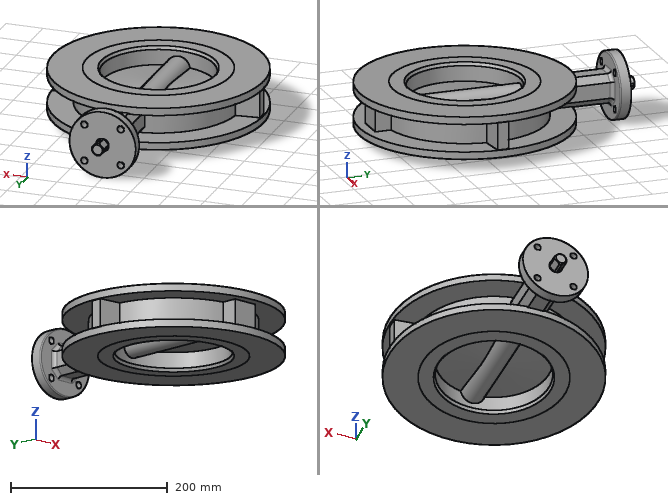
import cadquery as cq


overall_length = 371.5

body_radius = 142.47
body_height = 57.2
plate_thickness = 10.0
core_radius = 109.0
gap_height = body_height - 2 * plate_thickness

front_rib_width = 36.8
front_rib_reach = 128.5
side_rib_reach = 140.5
side_rib_tip_width = 15.2
side_rib_root_width = 21.0

neck_width = 39.8
neck_chamfer = 9.3
neck_fillet = 5.0
flange_radius = 45.0
flange_thickness = 15.2
flange_top = 210.3
flange_edge_fillet = 1.5
bolt_circle_radius = 35.0
bolt_hole_diameter = 9.0
bolt_count = 4
first_bolt_angle = 45
flange_bottom = flange_top - flange_thickness

liner_radius = 97.0
bore_radius = 75.0
bore_lead_in_width = 2.2
bore_lead_in_depth = 4.5

disc_rim_height = 6.7
disc_centre_height = 16.7
hub_radius = 16.7

stem_diameter = 17.5
stem_top = overall_length - body_radius
stem_bottom = -119.0
stem_square = 14.5
stem_square_angle = 45
stem_tip_chamfer = 2.0


def cylinder_along_y(radius, y_start, y_end):
    """Round bar on the stem axis between two Y positions."""
    return cq.Workplane("XZ", origin=(0, y_start, 0)).circle(radius).extrude(y_start - y_end)


def make_stem():
    """Round stem whose exposed upper end is a turned square with rounded corners."""
    stem = cylinder_along_y(stem_diameter / 2, stem_bottom, stem_top)
    stem = stem.faces(">Y").chamfer(stem_tip_chamfer)
    exposed_length = stem_top - flange_top
    exposed_middle = flange_top + exposed_length / 2
    surround = cq.Workplane("XY").box(2 * stem_diameter, exposed_length, 2 * stem_diameter)
    square = cq.Workplane("XY").box(stem_square, exposed_length, stem_square)
    square = square.rotate((0, 0, 0), (0, 1, 0), stem_square_angle)
    return stem.cut(surround.cut(square).translate((0, exposed_middle, 0)))


def make_side_rib():
    """Rib on the -X side that narrows from the core tube to its flat tip."""
    tip = side_rib_tip_width / 2
    root = side_rib_root_width / 2
    outline = [(-side_rib_reach, -tip), (-side_rib_reach, tip), (-core_radius, root),
               (-liner_radius, root), (-liner_radius, -root), (-core_radius, -root)]
    return cq.Workplane("XY").polyline(outline).close().extrude(gap_height / 2, both=True)


def make_housing_ring():
    """Core tube with a plate at each face, a front rib and two side ribs."""
    ring = cq.Workplane("XY").circle(core_radius).extrude(gap_height / 2, both=True)
    for plate_bottom in (-body_height / 2, gap_height / 2):
        plate = cq.Workplane("XY", origin=(0, 0, plate_bottom)).circle(body_radius)
        ring = ring.union(plate.extrude(plate_thickness))
    front_rib = cq.Workplane("XY").box(front_rib_width, front_rib_reach, gap_height)
    side_rib = make_side_rib()
    return (
        ring.union(front_rib.translate((0, -front_rib_reach / 2, 0)))
        .union(side_rib)
        .union(side_rib.mirror("YZ"))
    )


def make_neck():
    """Eight-sided neck from the core tube up to the filleted actuator flange."""
    neck = (
        cq.Workplane("XZ").rect(neck_width, neck_width).extrude(-flange_bottom)
        .edges("|Y").chamfer(neck_chamfer)
    )
    flange = cylinder_along_y(flange_radius, flange_bottom, flange_top)
    flange = flange.faces("<Y").edges().fillet(flange_edge_fillet)
    bolt_holes = (
        cq.Workplane("XZ", origin=(0, flange_bottom, 0))
        .polarArray(bolt_circle_radius, first_bolt_angle, 360, bolt_count)
        .circle(bolt_hole_diameter / 2).extrude(-flange_thickness)
    )
    neck_root = cq.selectors.BoxSelector(
        (-neck_width, flange_bottom - flange_edge_fillet / 2, -neck_width),
        (neck_width, flange_bottom + flange_edge_fillet / 2, neck_width),
    )
    neck = neck.union(flange).edges(neck_root).edges("%LINE").fillet(neck_fillet)
    return neck.cut(bolt_holes)


def make_housing(stem):
    """Ring and neck in one piece, bored for the liner and the stem."""
    liner_bore = cq.Workplane("XY").circle(liner_radius).extrude(body_height / 2, both=True)
    return make_housing_ring().union(make_neck()).cut(liner_bore).cut(stem)


def make_liner(stem):
    """Seat ring flush with both faces, with a tapered lead-in at each end of its bore."""
    half = body_height / 2
    taper_z = half - bore_lead_in_depth
    mouth_radius = bore_radius + bore_lead_in_width
    section = [(liner_radius, -half), (liner_radius, half), (mouth_radius, half),
               (bore_radius, taper_z), (bore_radius, -taper_z), (mouth_radius, -half)]
    return cq.Workplane("XZ").polyline(section).close().revolve().cut(stem)


def make_disc(stem):
    """Closed disc with conical faces and a round hub along the stem, its ends curved to the bore."""
    rim = disc_rim_height / 2
    centre = disc_centre_height / 2
    section = [(0, -centre), (bore_radius, -rim), (bore_radius, rim), (0, centre)]
    plate = cq.Workplane("XZ").polyline(section).close().revolve()
    hub = cylinder_along_y(hub_radius, -bore_radius, bore_radius)
    bore = cq.Workplane("XY").circle(bore_radius).extrude(hub_radius, both=True)
    return plate.union(hub.intersect(bore)).cut(stem)


stem = make_stem()
housing = make_housing(stem)
liner = make_liner(stem)
disc = make_disc(stem)

result = cq.Compound.makeCompound([housing.val(), liner.val(), disc.val(), stem.val()])